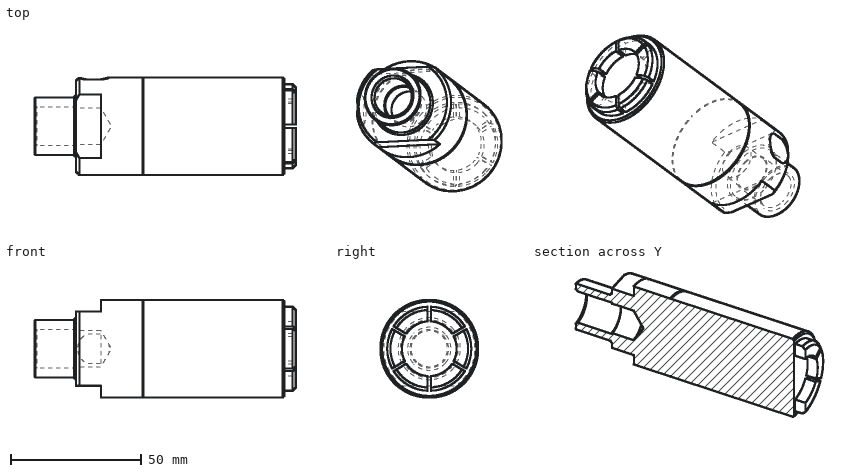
import cadquery as cq
import math

total_length = 100.25
body_diameter = 37.59

stub_diameter = 22.23
stub_tip_chamfer = 0.4
neck_diameter = 23.84
neck_flare = (neck_diameter - stub_diameter) / 2

body_start = 15.88
body_end = 95.8
body_front_chamfer = 1.3
body_rear_chamfer = 0.7

groove_start = 41.4
groove_width = 0.3
groove_depth = 0.2

flat_end = 25.4
across_flats = 28.58

bore_diameter = 14.75
bore_mouth_diameter = 16.6
bore_mouth_chamfer = (bore_mouth_diameter - bore_diameter) / 2
bore_depth = 15.88
drill_diameter = 13.89
drill_depth = 25.4
drill_point_angle = 118

spotface_diameter = 12.2
spotface_x = 22.6
spotface_floor_y = 17.95

ring_diameter = 32.3
ring_chamfer = 1.25
ring_bore_diameter = 21.0
slot_count = 6
slot_width = 1.2


def turned(profile):
    """Revolve a closed (x, radius) profile about the X axis."""
    return cq.Workplane("XY").polyline(profile).close().revolve(360, (0, 0, 0), (1, 0, 0))


def outer_shape():
    stub_radius = stub_diameter / 2
    body_radius = body_diameter / 2
    ring_radius = ring_diameter / 2
    return turned([
        (0, 0),
        (0, stub_radius - stub_tip_chamfer),
        (stub_tip_chamfer, stub_radius),
        (body_start - neck_flare, stub_radius),
        (body_start, neck_diameter / 2),
        (body_start, body_radius - body_front_chamfer),
        (body_start + body_front_chamfer, body_radius),
        (groove_start, body_radius),
        (groove_start, body_radius - groove_depth),
        (groove_start + groove_width, body_radius - groove_depth),
        (groove_start + groove_width, body_radius),
        (body_end - body_rear_chamfer, body_radius),
        (body_end, body_radius - body_rear_chamfer),
        (body_end, ring_radius),
        (total_length - ring_chamfer, ring_radius),
        (total_length, ring_radius - ring_chamfer),
        (total_length, 0),
    ])


def stub_bore():
    bore_radius = bore_diameter / 2
    drill_radius = drill_diameter / 2
    point_length = drill_radius / math.tan(math.radians(drill_point_angle / 2))
    return turned([
        (0, 0),
        (0, bore_mouth_diameter / 2),
        (bore_mouth_chamfer, bore_radius),
        (bore_depth, bore_radius),
        (bore_depth, drill_radius),
        (drill_depth, drill_radius),
        (drill_depth + point_length, 0),
    ])


def wrench_flats():
    """Material above and below the two flats, normal to Z."""
    block_height = body_diameter - across_flats
    length = flat_end - body_start
    center_z = (across_flats + block_height) / 2
    block_centers = [(body_start + length / 2, 0, side * center_z) for side in (-1, 1)]
    return cq.Workplane("XY").pushPoints(block_centers).box(length, body_diameter, block_height)


def ring_recess():
    """Bore of the ring together with its radial slots."""
    depth = total_length - body_end
    recess = cq.Workplane("YZ", origin=(body_end, 0, 0)).circle(ring_bore_diameter / 2).extrude(depth)
    for index in range(slot_count // 2):
        bar = cq.Workplane("YZ", origin=(body_end, 0, 0)).rect(slot_width, body_diameter).extrude(depth)
        recess = recess.union(bar.rotate((0, 0, 0), (1, 0, 0), index * 360 / slot_count))
    return recess


def spotface():
    depth = body_diameter / 2 - spotface_floor_y
    disc = cq.Workplane("XZ", origin=(spotface_x, spotface_floor_y, 0)).circle(spotface_diameter / 2)
    return disc.extrude(-depth)


result = outer_shape().cut(stub_bore()).cut(wrench_flats()).cut(ring_recess()).cut(spotface())